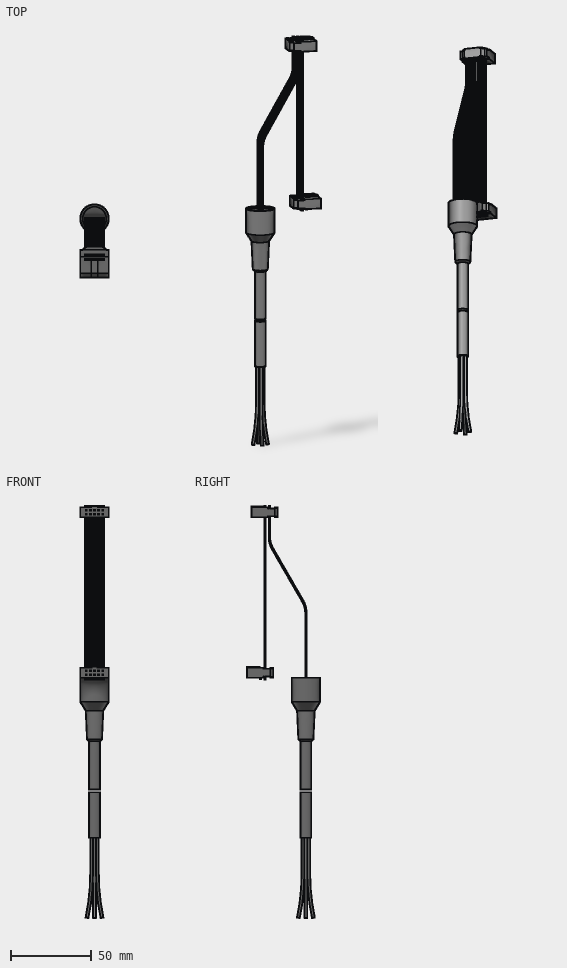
import cadquery as cq
import math


wire_count = 10
wire_pitch = 1.27
wire_radius = 0.5
wire_tip_above = 0.85
wire_tip_below = 1.4

connector_width = 17.9
connector_height = 6.3
connector_length = 16.6
neck_height = 5.0
neck_length = 4.2
cap_length = 2.0
cap_front_width = 15.0
cap_rib_inset = 0.5
key_width = 4.0
key_height = 0.7
key_length = 8.2
socket_columns = 5
socket_pitch = 2.54
socket_size = 0.77
socket_depth = 6.0
rear_slot = 5.28
row_spacing = 2.79

boot_radius = 8.975
boot_recess_radius = 7.4
boot_recess_depth = 1.0
boot_top = 21.5
boot_barrel_bottom = 6.3
boot_cone_bottom = 0.9
boot_bottom = -17.0
boot_sleeve_top_radius = 5.6
boot_sleeve_bottom_radius = 4.8
boot_end_chamfer = 1.3
cable_radius = 3.45
cable_break_top = -48.5
cable_break_bottom = -50.0
cable_end = -78.7

conductor_count = 4
conductor_radius = 0.95
conductor_offset = 1.85
conductor_straight_end = -101.5
conductor_bend_radius = 130.0
overall_bottom = -128.795

overall_top = 128.795
upper_connector_top = overall_top - wire_tip_above
lower_connector_top = 27.7
lower_connector_front = -36.915
lower_connector_back = lower_connector_front + connector_length
upper_connector_back = lower_connector_back + row_spacing
front_row_y = lower_connector_back - rear_slot
rear_row_y = upper_connector_back - rear_slot
ribbon_break_middle = 73.0
ribbon_break_gap = 0.8
slope_angle = 30.0
slope_top = 105.4
slope_bend_radius = 15.0


def box(x_size, y_front, y_back, z_bottom, z_top):
    """Block centred on X between the given Y and Z limits."""
    return cq.Workplane("XY").box(x_size, y_back - y_front, z_top - z_bottom).translate(
        (0, (y_front + y_back) / 2, (z_bottom + z_top) / 2)
    )


def cap_plate(y_front, y_back, half_width, half_height):
    """Plate whose ends run inwards at 45 degrees from front to back."""
    half_back = half_width - (y_back - y_front)
    return (
        cq.Workplane("XY")
        .polyline([
            (-half_width, y_front),
            (half_width, y_front),
            (half_back, y_back),
            (-half_back, y_back),
        ])
        .close()
        .extrude(half_height, both=True)
    )


def connector(y_back, z_top):
    """Ribbon connector with its sockets facing -Y and its key on top."""
    half_body = connector_height / 2
    half_neck = neck_height / 2
    half_cap = cap_front_width / 2
    y_neck = y_back - cap_length
    y_body = y_neck - neck_length
    y_front = y_back - connector_length
    body = box(connector_width, y_front, y_body, -half_body, half_body)
    neck = box(connector_width, y_body, y_neck, -half_neck, half_neck)
    cap = cap_plate(y_neck, y_back, half_cap, half_neck)
    rib = cap_plate(y_neck, y_back, half_cap - cap_rib_inset, half_body)
    key = box(key_width, y_front, y_front + key_length, 0, half_body + key_height)
    sockets = (
        cq.Workplane("XZ", origin=(0, y_front, 0))
        .rarray(socket_pitch, socket_pitch, socket_columns, 2)
        .rect(socket_size, socket_size)
        .extrude(-socket_depth)
    )
    housing = body.union(neck).union(cap).union(rib).union(key).cut(sockets)
    return housing.translate((0, 0, z_top - half_body))


def wire_xs():
    """X positions of the ribbon wires."""
    return [(i - (wire_count - 1) / 2) * wire_pitch for i in range(wire_count)]


def straight_wires(y, z_bottom, z_top):
    """Row of vertical wires."""
    return (
        cq.Workplane("XY", origin=(0, y, z_bottom))
        .pushPoints([(x, 0) for x in wire_xs()])
        .circle(wire_radius)
        .extrude(z_top - z_bottom)
    )


def leaning_wires(z_bottom, z_top):
    """Row of wires that runs down, leans back to the cable axis and runs down again."""
    lean = math.radians(slope_angle)
    tangent = slope_bend_radius * math.tan(lean / 2)
    slope_height = -rear_row_y / math.tan(lean)
    slope_bottom = slope_top - slope_height
    run_y = tangent * math.sin(lean)
    run_z = tangent * math.cos(lean)
    path = (
        cq.Workplane("YZ")
        .moveTo(rear_row_y, z_top)
        .lineTo(rear_row_y, slope_top + tangent)
        .tangentArcPoint((rear_row_y + run_y, slope_top - run_z), relative=False)
        .lineTo(-run_y, slope_bottom + run_z)
        .tangentArcPoint((0, slope_bottom - tangent), relative=False)
        .lineTo(0, z_bottom)
    )
    wire = cq.Workplane("XY", origin=(0, rear_row_y, z_top)).circle(wire_radius).sweep(path)
    return [wire.translate((x, 0, 0)) for x in wire_xs()]


def boot_and_upper_cable():
    """Strain relief boot turned around Z together with the cable leaving it."""
    profile = [
        (0, boot_top - boot_recess_depth),
        (-boot_recess_radius, boot_top - boot_recess_depth),
        (-boot_recess_radius, boot_top),
        (-boot_radius, boot_top),
        (-boot_radius, boot_barrel_bottom),
        (-boot_sleeve_top_radius, boot_cone_bottom),
        (-boot_sleeve_bottom_radius, boot_bottom),
        (-cable_radius, boot_bottom - boot_end_chamfer),
        (-cable_radius, cable_break_top),
        (0, cable_break_top),
    ]
    return cq.Workplane("YZ").polyline(profile).close().revolve(360, (0, 0, 0), (0, 1, 0))


def upper_harness():
    """Upper connector with the rear ribbon, boot and cable, and the top half of the front ribbon."""
    harness = connector(upper_connector_back, upper_connector_top)
    front_bottom = ribbon_break_middle + ribbon_break_gap / 2
    harness = harness.union(straight_wires(front_row_y, front_bottom, overall_top))
    harness = harness.union(boot_and_upper_cable())
    for wire in leaning_wires(boot_top - 2 * boot_recess_depth, overall_top):
        harness = harness.union(wire)
    return harness


def lower_connector():
    """Lower connector with the bottom half of the front ribbon and a second row of wire ends."""
    bottom = lower_connector_top - connector_height
    tip_bottom = bottom - wire_tip_below
    front_top = ribbon_break_middle - ribbon_break_gap / 2
    body = connector(lower_connector_back, lower_connector_top)
    body = body.union(straight_wires(front_row_y, tip_bottom, front_top))
    short_row_bottom = bottom - wire_tip_above
    return body.union(straight_wires(front_row_y - row_spacing, short_row_bottom, lower_connector_top))


def flared_conductor():
    """Conductor on the +X side that runs down and bends outwards."""
    bend_height = conductor_straight_end - overall_bottom
    flare = math.asin(bend_height / (conductor_bend_radius + conductor_radius))
    tip_x = conductor_offset + conductor_bend_radius * (1 - math.cos(flare))
    tip_z = conductor_straight_end - conductor_bend_radius * math.sin(flare)
    path = (
        cq.Workplane("XZ")
        .moveTo(conductor_offset, cable_end + cable_radius)
        .lineTo(conductor_offset, conductor_straight_end)
        .tangentArcPoint((tip_x, tip_z), relative=False)
    )
    start = (conductor_offset, 0, cable_end + cable_radius)
    return cq.Workplane("XY", origin=start).circle(conductor_radius).sweep(path)


def lower_cable():
    """Cable below the break, with its conductors spread out evenly at the end."""
    length = cable_break_bottom - cable_end
    cable = cq.Workplane("XY", origin=(0, 0, cable_end)).circle(cable_radius).extrude(length)
    for i in range(conductor_count):
        turn = 360 / conductor_count * i
        cable = cable.union(flared_conductor().rotate((0, 0, 0), (0, 0, 1), turn))
    return cable


result = cq.Compound.makeCompound([
    upper_harness().val(),
    lower_connector().val(),
    lower_cable().val(),
])